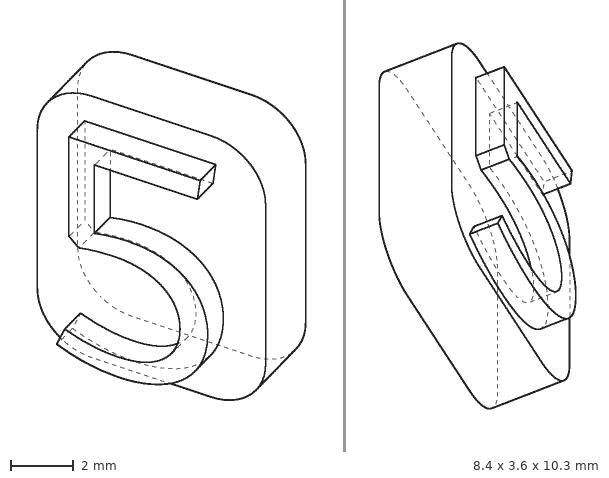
import cadquery as cq

plate_width = 8.4
plate_height = 10.3
plate_thickness = 2.6
corner_radius = 2.0
total_depth = 3.6
numeral_depth = total_depth - plate_thickness

stem_left = -2.46
stem_right = -1.52
bar_top = 4.08
bar_bottom = 3.31
bar_tip_top = 2.37
bar_tip_bottom = 2.27

outer_start = (stem_right, 0.61)
outer_top = (-0.32, 0.74)
outer_right = (2.65, -1.91)
outer_bottom = (-0.63, -4.75)
outer_end = (-2.91, -4.25)

inner_start = (-2.62, -3.55)
inner_bottom = (-0.63, -3.96)
inner_right = (1.63, -2.04)
inner_top = (-0.84, -0.04)
inner_end = (-2.1, -0.16)
stem_bottom = (stem_left, 0.16)

bowl_handle = 0.61


def between(start, end, fraction):
    """Point at a fraction of the way from start to end."""
    return tuple(a + fraction * (b - a) for a, b in zip(start, end))


def quarter(outline, start, end, corner):
    """Quarter-turn curve whose end tangents meet at corner."""
    start_handle = between(start, corner, bowl_handle)
    end_handle = between(end, corner, bowl_handle)
    return outline.bezier([start, start_handle, end_handle, end])


def flat_tail(outline, start, end, level):
    """Shallow curve that is level at its extreme height."""
    handle = ((start[0] + end[0]) / 2, level)
    return outline.bezier([start, handle, end])


def make_plate():
    plate = cq.Workplane("XY").box(plate_width, plate_thickness, plate_height, centered=(True, False, True))
    return plate.edges("|Y").fillet(corner_radius)


def make_numeral():
    outline = (
        cq.Workplane("XZ")
        .moveTo(*stem_bottom)
        .lineTo(stem_left, bar_top)
        .lineTo(bar_tip_top, bar_top)
        .lineTo(bar_tip_bottom, bar_bottom)
        .lineTo(stem_right, bar_bottom)
        .lineTo(*outer_start)
    )
    outline = flat_tail(outline, outer_start, outer_top, outer_top[1])
    outline = quarter(outline, outer_top, outer_right, (outer_right[0], outer_top[1]))
    outline = quarter(outline, outer_right, outer_bottom, (outer_right[0], outer_bottom[1]))
    outline = flat_tail(outline, outer_bottom, outer_end, outer_bottom[1])
    outline = outline.lineTo(*inner_start)
    outline = flat_tail(outline, inner_start, inner_bottom, inner_bottom[1])
    outline = quarter(outline, inner_bottom, inner_right, (inner_right[0], inner_bottom[1]))
    outline = quarter(outline, inner_right, inner_top, (inner_right[0], inner_top[1]))
    outline = flat_tail(outline, inner_top, inner_end, inner_top[1])
    return outline.close().extrude(numeral_depth)


result = make_plate().union(make_numeral())